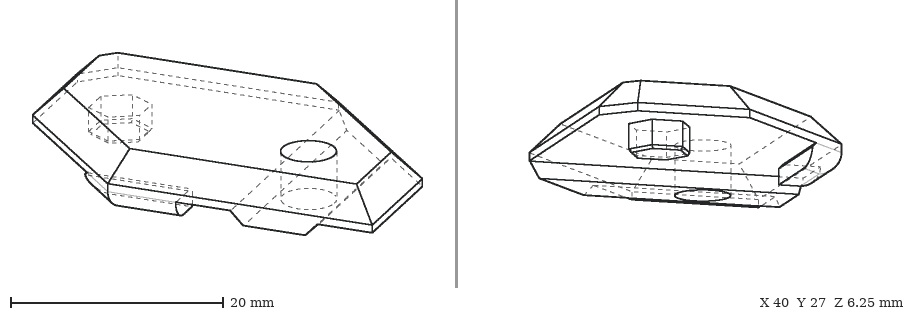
import cadquery as cq
import math

length = 40.0
width = 27.0
left_slant = 13.05
right_slant = 14.55
small_slant = 2.9
rim_height = 0.8
bevel = 2.7
plate_height = rim_height + bevel

peg_x = 6.0
peg_y = 20.1
peg_flats = 5.2
peg_depth = 2.75
peg_chamfer_height = 0.3
peg_chamfer_inset = 0.2

rail_x = 30.0
rail_depth = 1.3
rail_bottom_width = 6.3
rail_top_width = rail_bottom_width + 2 * rail_depth
hole_y = 8.5
hole_diameter = 5.3

lip_end_x = 19.95
lip_end_y = 4.1
lip_depth = 2.0
lip_radius = lip_depth
lip_notch = 0.45

OUTLINE = [
    (left_slant, 0),
    (length, 0),
    (length, width - right_slant),
    (length - right_slant, width),
    (small_slant, width),
    (0, width - small_slant),
    (0, left_slant),
]


def make_plate():
    rim = cq.Workplane("XY").polyline(OUTLINE).close().extrude(plate_height)
    return rim.faces(">Z").chamfer(bevel)


def make_peg():
    corner_diameter = peg_flats / math.cos(math.pi / 6)
    peg = (
        cq.Workplane("XY")
        .polygon(6, corner_diameter)
        .extrude(-peg_depth)
        .rotate((0, 0, 0), (0, 0, 1), 30)
        .translate((peg_x, peg_y, 0))
    )
    return peg.faces("<Z").chamfer(peg_chamfer_height, peg_chamfer_inset)


def make_rail():
    bar = (
        cq.Workplane("XZ")
        .polyline([
            (rail_x - rail_top_width / 2, 0),
            (rail_x + rail_top_width / 2, 0),
            (rail_x + rail_bottom_width / 2, -rail_depth),
            (rail_x - rail_bottom_width / 2, -rail_depth),
        ])
        .close()
        .extrude(-width)
    )
    return bar.intersect(cq.Workplane("XY").polyline(OUTLINE).close().extrude(-rail_depth))


def make_lip():
    lip = (
        cq.Workplane("XY", origin=(0, 0, rim_height))
        .polyline([
            (left_slant, 0),
            (lip_end_x, 0),
            (lip_end_x, lip_end_y),
            (left_slant - lip_end_y, lip_end_y),
        ])
        .close()
        .extrude(-rim_height - lip_depth)
    )
    straight_middle = ((left_slant + lip_end_x) / 2, 0, -lip_depth)
    slant_middle = (left_slant - lip_end_y / 2, lip_end_y / 2, -lip_depth)
    lip = (
        lip.edges(cq.selectors.NearestToPointSelector(straight_middle))
        .add(lip.edges(cq.selectors.NearestToPointSelector(slant_middle)))
        .fillet(lip_radius)
    )
    notch = (
        cq.Workplane("YZ")
        .polyline([(lip_end_y, 0), (lip_end_y - lip_notch, 0), (lip_end_y, -lip_notch)])
        .close()
        .extrude(length)
    )
    return lip.cut(notch)


hole = (
    cq.Workplane("XY", origin=(rail_x, hole_y, -rail_depth))
    .circle(hole_diameter / 2)
    .extrude(rail_depth + plate_height)
)

result = make_plate().union(make_peg()).union(make_rail()).union(make_lip()).cut(hole)